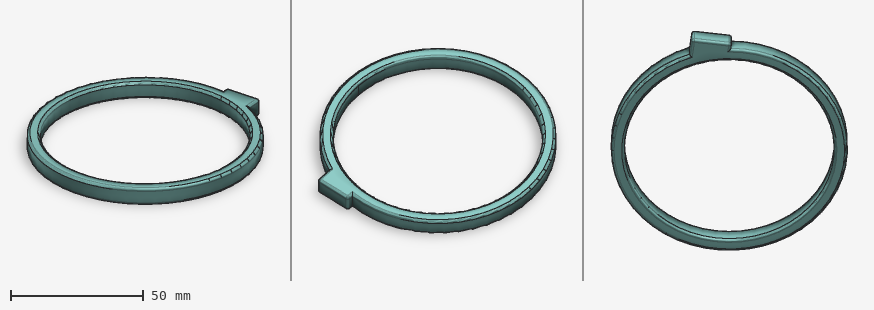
import cadquery as cq
import math

outer_diameter = 89.0
inner_diameter = 79.05
height = 7.0
edge_round = 1.0
outer_radius = outer_diameter / 2
inner_radius = inner_diameter / 2
middle_radius = (outer_radius + inner_radius) / 2

tab_turn = 26.0
tab_offset = 5.0
tab_width = 15.1
tab_tip = 46.7

insert_middle_angle = 40.0
insert_span = 30.0
insert_depth = edge_round
insert_height = height - 2 * edge_round


def tab():
    """Block rooted in the middle of the ring wall, with its two outer corners rounded."""
    core = cq.Workplane("XY").circle(middle_radius).extrude(height)
    block = (
        cq.Workplane("XY")
        .rect(tab_width, tab_tip, centered=(True, False))
        .extrude(height)
        .translate((tab_offset + tab_width / 2, 0, 0))
        .edges("|Z and >Y")
        .fillet(edge_round)
        .rotate((0, 0, 0), (0, 0, 1), tab_turn)
    )
    return block.cut(core)


def on_circle(radius, angle):
    """Point at a radius and an angle in degrees from +X."""
    return (radius * math.cos(math.radians(angle)), radius * math.sin(math.radians(angle)))


def make_insert():
    """Arc-shaped pad whose inner face continues the bore."""
    start = insert_middle_angle - insert_span / 2
    end = insert_middle_angle + insert_span / 2
    back_radius = inner_radius + insert_depth
    return (
        cq.Workplane("XY", origin=(0, 0, edge_round))
        .moveTo(*on_circle(inner_radius, start))
        .lineTo(*on_circle(back_radius, start))
        .threePointArc(on_circle(back_radius, insert_middle_angle), on_circle(back_radius, end))
        .lineTo(*on_circle(inner_radius, end))
        .threePointArc(on_circle(inner_radius, insert_middle_angle), on_circle(inner_radius, start))
        .close()
        .extrude(insert_height)
    )


def make_ring(insert):
    """Ring and tab with rounded top and bottom edges, and a recess that fits the insert."""
    annulus = cq.Workplane("XY").circle(outer_radius).circle(inner_radius).extrude(height)
    rounded = annulus.union(tab()).faces("<Z or >Z").edges().fillet(edge_round)
    return rounded.cut(insert).solids()


insert = make_insert()
ring = make_ring(insert)

result = cq.Compound.makeCompound([ring.val(), insert.val()])